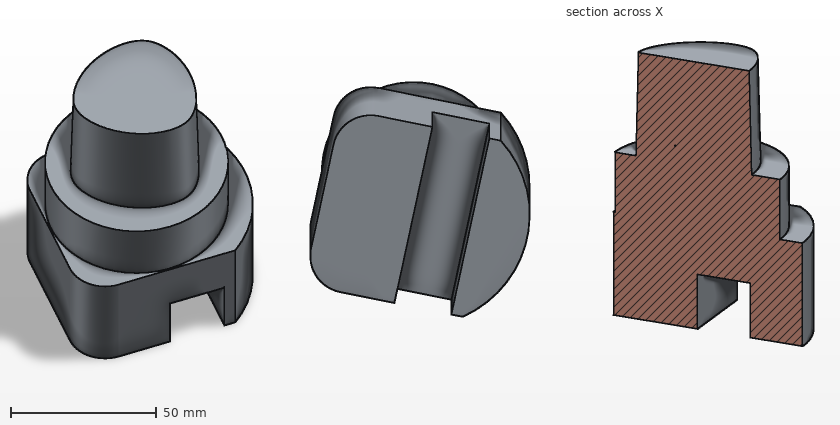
import cadquery as cq
import math

base_width = 64.0
base_height = 38.0
front_y = -base_width / 2
back_radius = 40.0
front_corner_radius = 13.0

slot_width = 20.0
slot_height = 20.0

collar_diameter = 63.0
collar_height = 22.0

shank_height = 38.0
shank_root_diameter = 44.2
shank_taper = 1 / 20
shank_tip_diameter = shank_root_diameter - shank_height * shank_taper
lobe_eccentricity = 1.4
curve_points = 48


def make_base():
    half_width = base_width / 2
    back_corner_y = math.sqrt(back_radius**2 - half_width**2)
    outline = (
        cq.Workplane("XY")
        .moveTo(-half_width, front_y)
        .lineTo(half_width, front_y)
        .lineTo(half_width, back_corner_y)
        .threePointArc((0, back_radius), (-half_width, back_corner_y))
        .close()
    )
    block = outline.extrude(base_height)
    return block.edges("|Z and <Y").fillet(front_corner_radius)


def make_slot():
    return cq.Workplane("XY").box(
        base_width, slot_width, slot_height, centered=(True, False, False)
    )


def make_collar():
    return (
        cq.Workplane("XY")
        .workplane(offset=base_height)
        .circle(collar_diameter / 2)
        .extrude(collar_height)
    )


def lobe_point(angle, diameter):
    """Point of the constant-width lobed curve; angle 0 is the lobe tip at -Y."""
    along_lobe = (
        diameter / 2 * math.cos(angle)
        + 2 * lobe_eccentricity * math.cos(2 * angle)
        - lobe_eccentricity * math.cos(4 * angle)
    )
    across_lobe = (
        diameter / 2 * math.sin(angle)
        - 2 * lobe_eccentricity * math.sin(2 * angle)
        - lobe_eccentricity * math.sin(4 * angle)
    )
    return across_lobe, -along_lobe


def lobed_wire(diameter, z):
    """Smooth closed three-lobed wire at height z."""
    angles = [2 * math.pi * i / curve_points for i in range(curve_points)]
    points = [cq.Vector(*lobe_point(angle, diameter), z) for angle in angles]
    curve = cq.Edge.makeSpline(points, periodic=True)
    return cq.Wire.assembleEdges([curve])


def make_shank():
    root_z = base_height + collar_height
    root = lobed_wire(shank_root_diameter, root_z)
    tip = lobed_wire(shank_tip_diameter, root_z + shank_height)
    return cq.Workplane(obj=cq.Solid.makeLoft([root, tip], True))


result = make_base().cut(make_slot()).union(make_collar()).union(make_shank())